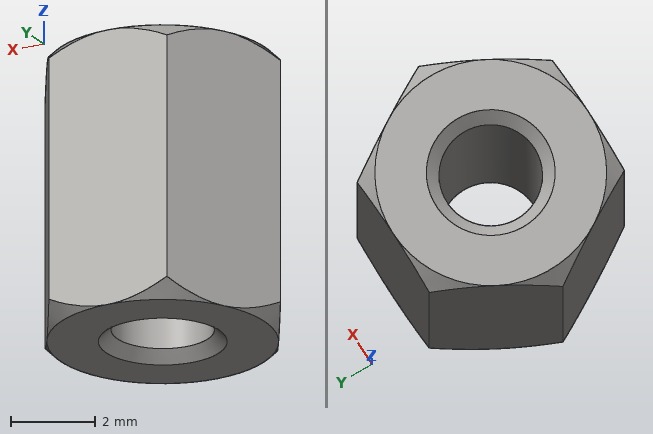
import cadquery as cq
import math

height = 7.0
across_flats = 5.5
bore_diameter = 2.46
countersink_diameter = 3.06

across_corners = across_flats / math.cos(math.radians(30))
corner_chamfer = (across_corners - across_flats) / 2
countersink_depth = (countersink_diameter - bore_diameter) / 2


def hexagonal_body():
    """Hexagonal prism with two corners on the X axis."""
    return cq.Workplane("XY").polygon(6, across_corners).extrude(height / 2, both=True)


def chamfer_envelope():
    """Round bar whose chamfered ends meet the middle of each flat."""
    bar = cq.Workplane("XY").circle(across_corners / 2).extrude(height / 2, both=True)
    return bar.faces("|Z").edges().chamfer(corner_chamfer)


def countersunk_bore():
    """Through bore widening to the countersink diameter at both ends."""
    bore_radius = bore_diameter / 2
    countersink_radius = countersink_diameter / 2
    end = height / 2
    shoulder = end - countersink_depth
    half_profile = [
        (0, -end),
        (countersink_radius, -end),
        (bore_radius, -shoulder),
        (bore_radius, shoulder),
        (countersink_radius, end),
        (0, end),
    ]
    return cq.Workplane("XZ").polyline(half_profile).close().revolve(360, (0, 0), (0, 1))


result = hexagonal_body().intersect(chamfer_envelope()).cut(countersunk_bore())